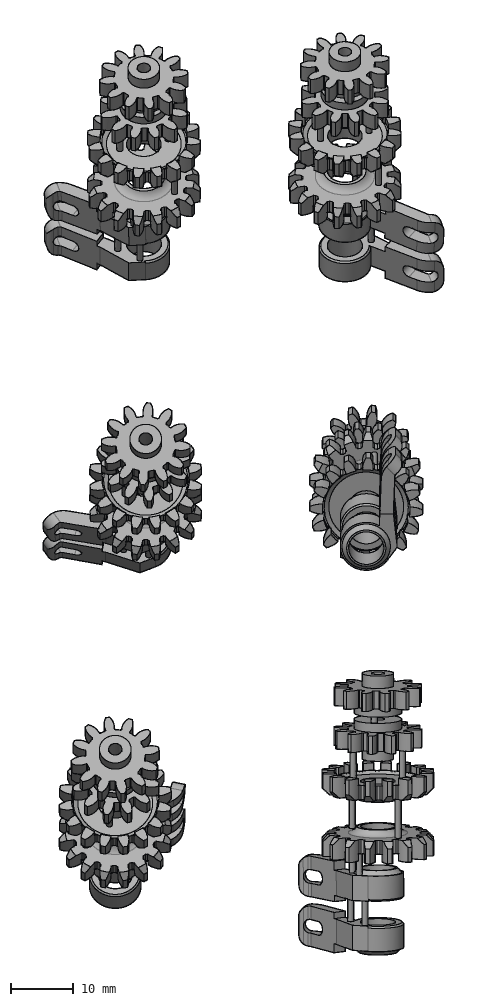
import cadquery as cq
import math

TOOTH_OVERLAP = 0.45

SPUR_TEETH = 12
SPUR_TIP_RADIUS = 7.05
SPUR_ROOT_RADIUS = 4.7
SPUR_TOOTH_WAIST_RADIUS = 5.8
SPUR_TOOTH_HALF_WIDTHS = (0.7, 0.8, 0.3)
SPUR_FACE_WIDTH = 2.95
HUB_RADIUS = 2.5
HUB_HEIGHT = 2.0
FLANGE_RADIUS = 3.8
FLANGE_HEIGHT = 1.45
SPUR_BORE_RADIUS = 1.05
SPUR_ROOT_FILLET = 0.15
UPPER_SPUR_TURN = -7.7
LOWER_SPUR_TURN = 0.8
SPUR_HEIGHT = HUB_HEIGHT + SPUR_FACE_WIDTH + FLANGE_HEIGHT

CROWN_TEETH = 16
CROWN_DIAMETER = 18.0
CROWN_TIP_RADIUS = CROWN_DIAMETER / 2
CROWN_ROOT_RADIUS = 6.7
CROWN_TOOTH_WAIST_RADIUS = 7.9
CROWN_TOOTH_HALF_WIDTHS = (0.82, 0.8, 0.35)
CROWN_TOOTH_HEIGHT = 3.45
CROWN_ROOT_FILLET = 0.25
CROWN_TIP_CHAMFER = 1.0
TOOTH_INNER_RADIUS = 6.95
PLATE_RECESS = 1.6
PLATE_FACE_RADIUS = 5.95
PLATE_LIP_HEIGHT = 0.45
COLLAR_HEIGHT = 1.0
COLLAR_BASE_RADIUS = 4.7
COLLAR_FLARE_RADIUS = 4.0
COLLAR_FLARE_HEIGHT = 0.3
COLLAR_TOP_RADIUS = 3.35
CROWN_BORE_RADIUS = 2.75

PAD_HEIGHT = 6.55
ARM_BOTTOM = 1.45
ARM_HEIGHT = 4.1
RING_RADIUS = 4.12
RING_BORE_RADIUS = 2.8
RING_CHAMFER = 0.27
RING_COLLAR_HEIGHT = 0.75
RING_COLLAR_RADIUS = 3.1
ARM_THICKNESS = 2.15
ARM_ANGLE = 45
PAD_LEFT = -8.3
PAD_THICKNESS = 2.0
LEVER_REACH = 14.1
PAD_START = 6.3
PAD_END_FILLET = 2.05
PAD_CORNER_FILLET = 0.9
BEND_OUTER_RADIUS = 3.65
BEND_INNER_RADIUS = 0.75
HEEL_CORNER = 3.5
HEEL_START = 5.7
SLOT_RADIUS = 1.1
SLOT_START = 10.68
SLOT_END_Y = -12.1
UPPER_LEVER_TILT_X = 1
UPPER_LEVER_TILT_Y = -1.8

PIN_RADIUS = 0.5
PIN_OVERLAP = 0.45
SPUR_PIN_PLACES = [(-3.15, 0), (3.15, 0)]
SPUR_CROWN_PIN_PLACES = [(0.1, -4.0), (0.1, 4.0)]
CROWN_PIN_PLACES = [(-3.15, -4.7), (3.9, 4.0)]
UPPER_LEVER_PIN_PLACES = [(0.6, -4.0), (3.02, -2.45)]
LOWER_LEVER_PIN_PLACES = [(0.15, -4.35), (3.1, -1.5)]

STACK_HEIGHT = 45.8
UPPER_SPUR_BOTTOM = STACK_HEIGHT - SPUR_HEIGHT
SPUR_GAP = 1.0
LOWER_SPUR_TOP = UPPER_SPUR_BOTTOM - SPUR_GAP
LOWER_SPUR_BOTTOM = LOWER_SPUR_TOP - SPUR_HEIGHT
UPPER_CROWN_TOP = 29.95
LOWER_CROWN_BOTTOM = 16.6
UPPER_LEVER_TOP = 15.05


def tooth(root_radius, waist_radius, tip_radius, half_widths, root_fillet, height):
    """One tooth along +X with arched flanks and filleted feet, reaching a little into the disc."""
    root_half, waist_half, tip_half = half_widths
    foot_half = root_half + root_fillet
    foot = math.sqrt(root_radius**2 - foot_half**2)
    flank = foot + root_fillet
    return (
        cq.Workplane("XY")
        .moveTo(foot - TOOTH_OVERLAP, -foot_half)
        .lineTo(foot, -foot_half)
        .radiusArc((flank, -root_half), -root_fillet)
        .threePointArc((waist_radius, -waist_half), (tip_radius, -tip_half))
        .lineTo(tip_radius, tip_half)
        .threePointArc((waist_radius, waist_half), (flank, root_half))
        .radiusArc((foot, foot_half), -root_fillet)
        .lineTo(foot - TOOTH_OVERLAP, foot_half)
        .close().extrude(height)
    )


def add_teeth(blank, one_tooth, count):
    for i in range(count):
        blank = blank.union(one_tooth.rotate((0, 0, 0), (0, 0, 1), i * 360 / count))
    return blank


def disc(radius, bottom, height):
    return cq.Workplane("XY").workplane(offset=bottom).circle(radius).extrude(height)


def pins(places, bottom, top):
    return (
        cq.Workplane("XY").workplane(offset=bottom)
        .pushPoints(places).circle(PIN_RADIUS).extrude(top - bottom)
    )


def spur_gear():
    """Flange at the bottom, hub at the top."""
    spur_tooth = tooth(
        SPUR_ROOT_RADIUS, SPUR_TOOTH_WAIST_RADIUS, SPUR_TIP_RADIUS,
        SPUR_TOOTH_HALF_WIDTHS, SPUR_ROOT_FILLET, SPUR_FACE_WIDTH,
    )
    toothed = add_teeth(disc(SPUR_ROOT_RADIUS, 0, SPUR_FACE_WIDTH), spur_tooth, SPUR_TEETH)
    toothed = toothed.translate((0, 0, FLANGE_HEIGHT))
    return (
        toothed
        .union(disc(FLANGE_RADIUS, 0, FLANGE_HEIGHT))
        .union(disc(HUB_RADIUS, FLANGE_HEIGHT + SPUR_FACE_WIDTH, HUB_HEIGHT))
        .cut(disc(SPUR_BORE_RADIUS, 0, SPUR_HEIGHT))
    )


def crown_gear():
    """Overhanging teeth at the bottom, collar at the top."""
    crown_tooth = tooth(
        CROWN_ROOT_RADIUS, CROWN_TOOTH_WAIST_RADIUS, CROWN_TIP_RADIUS,
        CROWN_TOOTH_HALF_WIDTHS, CROWN_ROOT_FILLET, CROWN_TOOTH_HEIGHT,
    )
    gear = add_teeth(disc(CROWN_ROOT_RADIUS, 0, CROWN_TOOTH_HEIGHT), crown_tooth, CROWN_TEETH)
    recess = (
        cq.Workplane("XZ")
        .polyline([
            (0, 0),
            (TOOTH_INNER_RADIUS, 0),
            (TOOTH_INNER_RADIUS, PLATE_RECESS - PLATE_LIP_HEIGHT),
            (CROWN_ROOT_RADIUS, PLATE_RECESS - PLATE_LIP_HEIGHT),
            (PLATE_FACE_RADIUS, PLATE_RECESS),
            (0, PLATE_RECESS),
        ])
        .close().revolve()
    )
    tip_bevel = (
        cq.Workplane("XZ")
        .polyline([
            (CROWN_TIP_RADIUS + CROWN_TIP_CHAMFER, CROWN_TOOTH_HEIGHT),
            (CROWN_TIP_RADIUS - CROWN_TIP_CHAMFER, CROWN_TOOTH_HEIGHT),
            (CROWN_TIP_RADIUS + CROWN_TIP_CHAMFER, CROWN_TOOTH_HEIGHT - 2 * CROWN_TIP_CHAMFER),
        ])
        .close().revolve()
    )
    top = CROWN_TOOTH_HEIGHT + COLLAR_HEIGHT
    collar = (
        cq.Workplane("XZ")
        .moveTo(0, CROWN_TOOTH_HEIGHT)
        .lineTo(COLLAR_BASE_RADIUS, CROWN_TOOTH_HEIGHT)
        .threePointArc(
            (COLLAR_FLARE_RADIUS, CROWN_TOOTH_HEIGHT + COLLAR_FLARE_HEIGHT),
            (COLLAR_TOP_RADIUS, top),
        )
        .lineTo(0, top)
        .close().revolve()
    )
    return gear.cut(recess).cut(tip_bevel).union(collar).cut(disc(CROWN_BORE_RADIUS, 0, top))


def near(x, y, z):
    return cq.selectors.NearestToPointSelector((x, y, z))


def lever_strip():
    """The arm and pad as one bent strip of full pad height."""
    diagonal = math.sqrt(2)
    pad_right = PAD_LEFT + PAD_THICKNESS
    inner_line = RING_RADIUS * diagonal
    outer_line = (RING_RADIUS - ARM_THICKNESS) * diagonal
    heel_start = ((RING_RADIUS - HEEL_START) / diagonal, -(RING_RADIUS + HEEL_START) / diagonal)
    heel_corner = (HEEL_CORNER, -HEEL_CORNER)
    tangent_turn = math.acos(RING_RADIUS / math.hypot(*heel_corner)) - math.radians(ARM_ANGLE)
    ring_touch = (RING_RADIUS * math.cos(tangent_turn), RING_RADIUS * math.sin(tangent_turn))
    outer_start = (RING_RADIUS - ARM_THICKNESS) / diagonal
    outer_bend = (PAD_LEFT, PAD_LEFT - outer_line)
    inner_bend = (pad_right, pad_right - inner_line)
    strip = (
        cq.Workplane("XY")
        .polyline([
            ring_touch,
            heel_corner,
            heel_start,
            inner_bend,
            (pad_right, -LEVER_REACH),
            (PAD_LEFT, -LEVER_REACH),
            outer_bend,
            (outer_start, -outer_start),
        ])
        .close().extrude(PAD_HEIGHT)
    )
    middle = PAD_HEIGHT / 2
    strip = strip.edges(near(*outer_bend, middle)).fillet(BEND_OUTER_RADIUS)
    strip = strip.edges(near(*inner_bend, middle)).fillet(BEND_INNER_RADIUS)
    strip = strip.faces("<Y").edges("|X").fillet(PAD_END_FILLET)
    corner = (
        cq.Workplane("XY")
        .moveTo(pad_right, -LEVER_REACH)
        .lineTo(pad_right, PAD_CORNER_FILLET - LEVER_REACH)
        .radiusArc((pad_right - PAD_CORNER_FILLET, -LEVER_REACH), PAD_CORNER_FILLET)
        .close().extrude(PAD_HEIGHT)
    )
    return strip.cut(corner)


def lever_slot():
    """A slot that follows the bend: round ends square to the arm and to the pad."""
    middle = PAD_HEIGHT / 2
    start_sum = -SLOT_START * math.sqrt(2)
    apex = (start_sum - SLOT_END_Y, SLOT_END_Y)
    span = 2 * LEVER_REACH
    wedge = (
        cq.Workplane("XY").workplane(offset=middle - SLOT_RADIUS)
        .polyline([apex, (apex[0] - span, apex[1] + span), (apex[0] - span, apex[1])])
        .close().extrude(2 * SLOT_RADIUS)
    )
    slot = wedge
    for direction in [(-1, 1, 0), (-1, 0, 0)]:
        end = cq.Solid.makeCylinder(
            SLOT_RADIUS, span, cq.Vector(*apex, middle), cq.Vector(*direction)
        )
        slot = slot.union(cq.Workplane(end))
    return slot


def lever():
    """Ring collar at the bottom."""
    strip = lever_strip()
    arm_top = ARM_BOTTOM + ARM_HEIGHT
    for bottom, height in [(0, ARM_BOTTOM), (arm_top, PAD_HEIGHT - arm_top)]:
        clearance = (
            cq.Workplane("XY").workplane(offset=bottom)
            .rect(2 * PAD_START, 4 * RING_RADIUS).extrude(height)
            .rotate((0, 0, 0), (0, 0, 1), ARM_ANGLE)
        )
        strip = strip.cut(clearance)
    ring = disc(RING_RADIUS, ARM_BOTTOM, ARM_HEIGHT).faces(">Z").chamfer(RING_CHAMFER)
    collar = cq.Workplane(cq.Solid.makeCone(
        RING_COLLAR_RADIUS,
        RING_COLLAR_RADIUS + RING_COLLAR_HEIGHT,
        RING_COLLAR_HEIGHT,
        cq.Vector(0, 0, ARM_BOTTOM - RING_COLLAR_HEIGHT),
    ))
    return (
        strip.union(ring).union(collar)
        .cut(lever_slot()).cut(disc(RING_BORE_RADIUS, 0, PAD_HEIGHT))
    )


upper_spur_gear = (
    spur_gear()
    .rotate((0, 0, 0), (0, 0, 1), UPPER_SPUR_TURN)
    .translate((0, 0, UPPER_SPUR_BOTTOM))
    .union(pins(SPUR_PIN_PLACES, LOWER_SPUR_TOP, UPPER_SPUR_BOTTOM))
)

lower_spur_tooth_bottom = LOWER_SPUR_BOTTOM + HUB_HEIGHT
upper_plate_face = UPPER_CROWN_TOP - PLATE_RECESS
lower_spur_gear = (
    spur_gear()
    .rotate((0, 0, 0), (0, 0, 1), LOWER_SPUR_TURN)
    .mirror("XY")
    .translate((0, 0, LOWER_SPUR_TOP))
    .union(pins(SPUR_CROWN_PIN_PLACES, upper_plate_face, lower_spur_tooth_bottom))
)

upper_crown_gear = crown_gear().mirror("XY").translate((0, 0, UPPER_CROWN_TOP))
lower_crown_gear = crown_gear().translate((0, 0, LOWER_CROWN_BOTTOM))
crown_pins = pins(
    CROWN_PIN_PLACES,
    LOWER_CROWN_BOTTOM + CROWN_TOOTH_HEIGHT,
    UPPER_CROWN_TOP - CROWN_TOOTH_HEIGHT,
)

lower_plate_face = LOWER_CROWN_BOTTOM + PLATE_RECESS
upper_arm_top = UPPER_LEVER_TOP - ARM_BOTTOM
upper_arm_bottom = upper_arm_top - ARM_HEIGHT
tilt_height = UPPER_LEVER_TOP - PAD_HEIGHT / 2
upper_lever = (
    lever().mirror("XY").translate((0, 0, UPPER_LEVER_TOP))
    .union(pins(UPPER_LEVER_PIN_PLACES, upper_arm_top - PIN_OVERLAP, lower_plate_face + PIN_OVERLAP))
    .rotate((0, 0, tilt_height), (1, 0, tilt_height), UPPER_LEVER_TILT_X)
    .rotate((0, 0, tilt_height), (0, 1, tilt_height), UPPER_LEVER_TILT_Y)
    .cut(lower_crown_gear)
)

lower_arm_top = ARM_BOTTOM + ARM_HEIGHT
lower_lever = (
    lever()
    .union(pins(LOWER_LEVER_PIN_PLACES, lower_arm_top - PIN_OVERLAP, upper_arm_bottom + PIN_OVERLAP))
    .cut(upper_lever)
)

result = cq.Compound.makeCompound([
    upper_spur_gear.solids().val(),
    lower_spur_gear.solids().val(),
    upper_crown_gear.solids().val(),
    lower_crown_gear.solids().val(),
    *crown_pins.vals(),
    upper_lever.solids().val(),
    lower_lever.solids().val(),
])